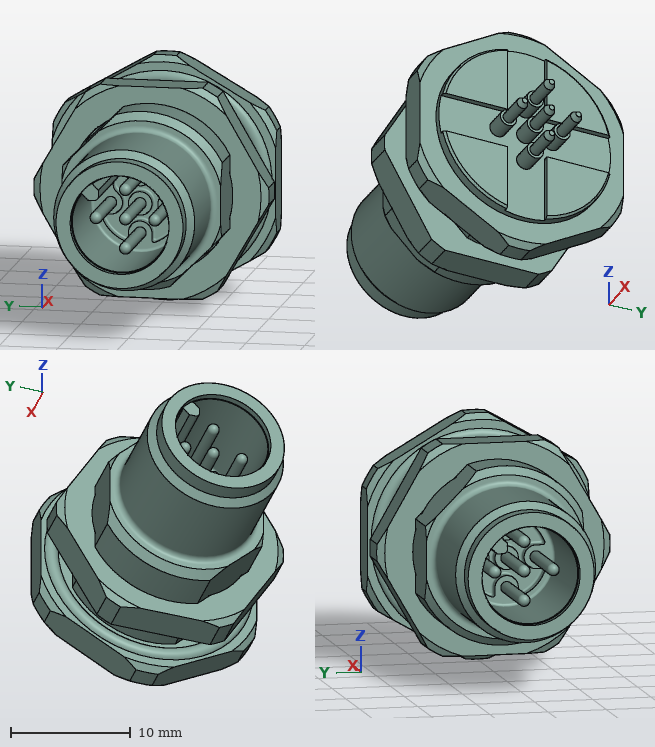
import cadquery as cq
import math

nose_end = 1.4
nose_chamfer_end = 2.05
neck_start = 9.0
thread_start = 9.5
thread_chamfer_end = 10.2
flange_front = 19.35
flange_rear = 21.97
slot_floor = 22.5
rim_end = 23.0

nose_radius = 10.8 / 2
plug_radius = 12 / 2
neck_fillet = thread_start - neck_start
thread_radius = 7.6
thread_chamfer_radius = 6.95
thread_root_radius = 7.0
rim_radius = 16 / 2
rim_chamfer = 0.2
rim_slot_width = 3.66

thread_flat_distance = 6.75
thread_flat_angles = (0, 45, 180, 225)

flange_across_flats = 19
flange_corner_diameter = 20.9
flange_turn = 30
flange_chamfer = 0.5

bead_section_radius = 0.7
bead_ring_radius = 8.6
bead_front = 19.0

nut_front = 13.5
nut_rear = 16.35
nut_across_flats = 18
nut_corner_diameter = 20
nut_turn = 0
nut_chamfer_radial = 0.6
nut_chamfer_axial = 0.37

mouth_radius = 8.4 / 2
cavity_radius = 8.24 / 2
cavity_front = 0.55
cavity_floor = 9.0
floor_fillet = 0.25

pin_radius = 1 / 2
pin_pitch_radius = 2.5
pin_front = 2.1
collar_pin_radius = 1.5 / 2
collar_pin_end = 24.5
tail_cone_start = 27.1
tail_end = 27.6
tail_tip_radius = 0.24
pin_angles = (0, 90, 180, 270)

recess_depth = 0.8
recess_radius = 3.5
recess_corner_fillet = 0.2
recess_floor_fillet = 0.17
pad_radius = 2 / 2
lobe_radius = pin_pitch_radius * math.sqrt(0.5) - pad_radius
lobe_place = 2.16

key_angle = 45
key_width = 1.25
key_tip = 2.69
key_tip_fillet = 0.35


def polar(radius, angle):
    """Point (y, z) at a radius and an angle in degrees from +Y towards +Z."""
    return (radius * math.cos(math.radians(angle)), radius * math.sin(math.radians(angle)))


def offset_point(along, angle, aside, aside_angle):
    """Point reached by going `along` in one direction and then `aside` in another."""
    first = polar(along, angle)
    second = polar(aside, aside_angle)
    return (first[0] + second[0], first[1] + second[1])


def revolve_about_x(points):
    """Solid of revolution from (x, radius) points closed along the axis."""
    profile = cq.Workplane("XY").polyline(points).close()
    return profile.revolve(360, (0, 0, 0), (1, 0, 0))


def cylinder(x_start, x_end, radius):
    return cq.Workplane("YZ", origin=(x_start, 0, 0)).circle(radius).extrude(x_end - x_start)


def chamfered_hexagon(x_start, x_end, across_flats, corner_diameter, turn, front, rear):
    """Hexagonal prism turned down at its corners; front and rear are (axial, radial) chamfers."""
    corner = corner_diameter / 2
    across_corners = across_flats / math.cos(math.radians(30))
    prism = (
        cq.Workplane("YZ", origin=(x_start, 0, 0))
        .polygon(6, across_corners)
        .extrude(x_end - x_start)
        .rotate((0, 0, 0), (1, 0, 0), turn)
    )
    envelope = [(x_start, 0), (x_start, corner - front[1]), (x_start + front[0], corner)]
    if rear:
        envelope += [(x_end - rear[0], corner), (x_end, corner - rear[1])]
    else:
        envelope.append((x_end, corner))
    envelope.append((x_end, 0))
    return prism.intersect(revolve_about_x(envelope))


def make_nut():
    """Nut with two flats facing up and down, chamfered on its front only."""
    blank = chamfered_hexagon(
        nut_front, nut_rear, nut_across_flats, nut_corner_diameter, nut_turn,
        (nut_chamfer_axial, nut_chamfer_radial), None,
    )
    return blank.cut(cylinder(nut_front, nut_rear, thread_root_radius))


def make_plug():
    """Nose and round plug up to the thread, with a concave fillet at the neck."""
    neck_outer = plug_radius + neck_fillet
    fillet_mid = neck_fillet * math.sqrt(0.5)
    profile = (
        cq.Workplane("XY")
        .moveTo(0, 0)
        .lineTo(0, nose_radius)
        .lineTo(nose_end, nose_radius)
        .lineTo(nose_chamfer_end, plug_radius)
        .lineTo(neck_start, plug_radius)
        .threePointArc((neck_start + fillet_mid, neck_outer - fillet_mid), (thread_start, neck_outer))
        .lineTo(thread_start, 0)
        .close()
    )
    return profile.revolve(360, (0, 0, 0), (1, 0, 0))


def make_thread():
    """Thread envelope with its flats, turned down to the root where the nut sits."""
    body = revolve_about_x([
        (thread_start, 0),
        (thread_start, thread_chamfer_radius),
        (thread_chamfer_end, thread_radius),
        (flange_front, thread_radius),
        (flange_front, 0),
    ])
    length = flange_front - thread_start
    for angle in thread_flat_angles:
        cutter = (
            cq.Workplane("YZ", origin=(thread_start, 0, 0))
            .center(thread_flat_distance + thread_radius, 0)
            .rect(2 * thread_radius, 4 * thread_radius)
            .extrude(length)
            .rotate((0, 0, 0), (1, 0, 0), angle)
        )
        body = body.cut(cutter)
    root = cylinder(nut_front, nut_rear, thread_root_radius)
    nut_seat = cylinder(nut_front, nut_rear, 2 * thread_radius).cut(root)
    return body.cut(nut_seat)


def make_flange():
    """Flange with two corners on the Z axis, chamfered on both faces."""
    chamfer = (flange_chamfer, flange_chamfer)
    return chamfered_hexagon(
        flange_front, flange_rear, flange_across_flats, flange_corner_diameter, flange_turn,
        chamfer, chamfer,
    )


def make_bead():
    """Ring of round section, partly sunk into the flange front."""
    return (
        cq.Workplane("XY")
        .center(bead_front + bead_section_radius, bead_ring_radius)
        .circle(bead_section_radius)
        .revolve(360, (0, -bead_ring_radius, 0), (1, -bead_ring_radius, 0))
    )


def make_rim():
    """Round rear rim with two crossing slots."""
    rim = cylinder(flange_rear, rim_end, rim_radius).faces(">X").edges().chamfer(rim_chamfer)
    for slot_size in ((rim_slot_width, 2 * rim_radius), (2 * rim_radius, rim_slot_width)):
        slot = cq.Workplane("YZ", origin=(slot_floor, 0, 0)).rect(*slot_size).extrude(rim_end - slot_floor)
        rim = rim.cut(slot)
    return rim


def make_cavity():
    """Round cavity with a slightly wider mouth and a filleted floor."""
    mouth = cylinder(0, cavity_front, mouth_radius)
    bore = cylinder(cavity_front, cavity_floor, cavity_radius).faces(">X").edges().fillet(floor_fillet)
    return mouth.union(bore)


def make_recess():
    """Recess in the cavity floor that leaves a pad around every contact and a lobe at the key."""
    corner_reach = math.sqrt(recess_radius**2 - pad_radius**2)
    pad_inner_reach = pin_pitch_radius - pad_radius
    first_pad = key_angle + 45
    last_pad = key_angle - 45
    lobe_start = offset_point(lobe_place, key_angle, lobe_radius, last_pad - 45)
    lobe_end = offset_point(lobe_place, key_angle, lobe_radius, first_pad + 45)

    floor = cq.Workplane("YZ", origin=(cavity_floor, 0, 0))
    outline = floor.moveTo(*offset_point(pin_pitch_radius, first_pad, pad_radius, first_pad - 135))
    for pad in (first_pad, first_pad + 90, first_pad + 180):
        next_pad = pad + 90
        outline = (
            outline
            .threePointArc(
                polar(pad_inner_reach, pad),
                offset_point(pin_pitch_radius, pad, pad_radius, next_pad),
            )
            .lineTo(*offset_point(corner_reach, pad, pad_radius, next_pad))
            .threePointArc(
                polar(recess_radius, pad + 45),
                offset_point(corner_reach, next_pad, pad_radius, pad),
            )
            .lineTo(*offset_point(pin_pitch_radius, next_pad, pad_radius, pad))
        )
    outline = (
        outline
        .threePointArc(
            polar(pad_inner_reach, last_pad),
            offset_point(pin_pitch_radius, last_pad, pad_radius, last_pad + 135),
        )
        .lineTo(*lobe_start)
        .threePointArc(polar(lobe_place + lobe_radius, key_angle), lobe_end)
        .close()
    )
    recess = outline.extrude(recess_depth)
    outer_corners = recess.edges("|X").filter(
        lambda edge: math.hypot(edge.Center().y, edge.Center().z) > (recess_radius + pin_pitch_radius) / 2
    )
    recess = outer_corners.fillet(recess_corner_fillet)
    recess = recess.cut(floor.circle(pad_radius).extrude(recess_depth))
    return recess.faces(">X").edges().fillet(recess_floor_fillet)


def make_key():
    """Rib along the cavity wall that points at the axis with a rounded tip."""
    half = key_width / 2
    length = cavity_floor - cavity_front
    root = (cavity_radius + mouth_radius) / 2
    shoulder = key_tip + half
    start = cq.Workplane("YZ", origin=(cavity_front, 0, 0))
    rib = (
        start
        .polyline([(key_tip, 0), (shoulder, half), (root, half), (root, -half), (shoulder, -half)])
        .close()
        .extrude(length)
    )
    tip_edge = rib.edges(cq.selectors.NearestToPointSelector((cavity_front + length / 2, key_tip, 0)))
    return tip_edge.fillet(key_tip_fillet).rotate((0, 0, 0), (1, 0, 0), key_angle)


def make_pin(y, z):
    """Contact with a rounded front end, a rear collar and a tapered solder tail."""
    shoulder = pin_front + pin_radius
    arc_mid = pin_radius * math.sqrt(0.5)
    profile = (
        cq.Workplane("XY")
        .moveTo(pin_front, 0)
        .threePointArc((shoulder - arc_mid, arc_mid), (shoulder, pin_radius))
        .lineTo(flange_rear, pin_radius)
        .lineTo(flange_rear, collar_pin_radius)
        .lineTo(collar_pin_end, collar_pin_radius)
        .lineTo(collar_pin_end, pin_radius)
        .lineTo(tail_cone_start, pin_radius)
        .lineTo(tail_end, tail_tip_radius)
        .lineTo(tail_end, 0)
        .close()
    )
    return profile.revolve(360, (0, 0, 0), (1, 0, 0)).translate((0, y, z))


def make_housing():
    housing = make_plug().union(make_thread()).union(make_flange()).union(make_bead()).union(make_rim())
    housing = housing.cut(make_cavity()).cut(make_recess()).union(make_key())
    housing = housing.union(make_pin(0, 0))
    for angle in pin_angles:
        housing = housing.union(make_pin(*polar(pin_pitch_radius, angle)))
    return housing


housing = make_housing()
nut = make_nut()

result = cq.Compound.makeCompound([housing.val(), nut.val()])